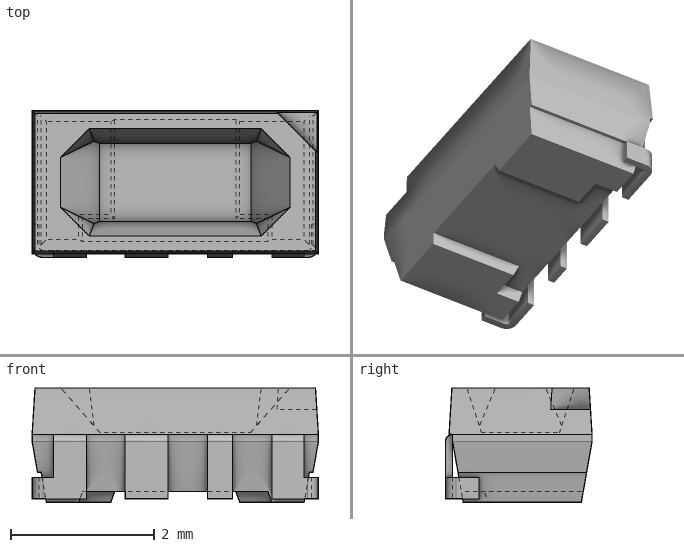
import cadquery as cq
import math

length = 4.0
width = 2.0
height = 1.6
base_height = 0.95
housing_height = height - base_height
housing_inset = 0.04
notch_leg = 0.52
notch_depth = 0.3

cavity_length = 3.2
cavity_width = 1.5
cavity_corner = 0.4
cavity_depth = 0.62
floor_length = 2.11
floor_width = 1.09
corner_facet_inset = 0.2

band_height = 0.1
band_bottom = base_height - band_height
step_height = 0.42
step_inset = 0.05
base_draft = 10.0
base_front = -0.95
base_back = width / 2

recess_height = 0.15
recess_draft = 20.0
channel_length = 1.8
pocket_length = 2.7
pocket_back = -0.45

lead_thickness = 0.1
lead_front = base_front - lead_thickness
lead_bottom = 0.05
lead_bend_radius = lead_thickness
foot_top = 0.35
foot_bend_radius = 0.15
foot_arm_end = -0.58
inner_leads = [(-0.7, -0.1), (0.45, 0.8)]
outer_leads = [(-1, 1.24, 1.7), (1, 1.35, 1.8)]


def block(x_start, x_end, y_start, y_end, z_start, z_end):
    """Box given by its limits along each axis."""
    return cq.Workplane("XY").box(
        x_end - x_start, y_end - y_start, z_end - z_start, centered=False
    ).translate((x_start, y_start, z_start))


def make_cavity():
    """Pocket with four sloped walls, its corners cut by steep diagonal facets."""
    basin = (
        cq.Workplane("XY")
        .workplane(offset=height)
        .rect(cavity_length, cavity_width)
        .workplane(offset=-cavity_depth)
        .rect(floor_length, floor_width)
        .loft(ruled=True)
    )
    diagonal_side = (cavity_length + cavity_width - 2 * cavity_corner) / math.sqrt(2)
    facet_taper = math.degrees(math.atan(corner_facet_inset / cavity_depth))
    corner_facets = (
        cq.Workplane("XY")
        .rect(diagonal_side, diagonal_side)
        .extrude(cavity_depth, taper=facet_taper)
        .rotate((0, 0, 0), (1, 0, 0), 180)
        .rotate((0, 0, 0), (0, 0, 1), 45)
        .translate((0, 0, height))
    )
    return basin.intersect(corner_facets)


def make_notch():
    """Triangular prism that drops the +X +Y corner of the housing top."""
    top_x = length / 2 - housing_inset
    top_y = width / 2 - housing_inset
    reach = 2 * housing_inset
    return (
        cq.Workplane("XY")
        .workplane(offset=height - notch_depth)
        .moveTo(top_x - notch_leg - reach, top_y + reach)
        .lineTo(top_x + reach, top_y + reach)
        .lineTo(top_x + reach, top_y - notch_leg - reach)
        .close()
        .extrude(notch_depth)
    )


def make_housing():
    wall_taper = math.degrees(math.atan(housing_inset / housing_height))
    shell = (
        cq.Workplane("XY")
        .workplane(offset=base_height)
        .rect(length, width)
        .extrude(housing_height, taper=wall_taper)
    )
    return shell.cut(make_notch()).cut(make_cavity())


def make_base():
    base_width = base_back - base_front
    base_center = (base_back + base_front) / 2
    band = block(-length / 2, length / 2, base_front, base_back, band_bottom, base_height)

    def drafted(top_length):
        return (
            cq.Workplane("XY")
            .workplane(offset=band_bottom)
            .center(0, base_center)
            .rect(top_length, base_width)
            .extrude(-band_bottom, taper=base_draft)
        )

    above_step = block(-length, length, -width, width, step_height, height)
    upper = drafted(length).intersect(above_step)
    lower = drafted(length - 2 * step_inset)
    return band.union(upper).union(lower).cut(make_recess())


def make_recess():
    """Drafted channel through the underside, widened by a pocket at the front."""
    def drafted(size_x, y_start, y_end):
        return (
            cq.Workplane("XY")
            .center(0, (y_start + y_end) / 2)
            .rect(size_x, y_end - y_start)
            .extrude(recess_height, taper=recess_draft)
        )

    channel = drafted(channel_length, -width, width)
    pocket = drafted(pocket_length, -width, pocket_back)
    return channel.union(pocket)


def make_leg(x_start, x_end):
    """Upright leg on the front of the base, rounded where it meets the housing."""
    return (
        cq.Workplane("YZ")
        .workplane(offset=x_start)
        .moveTo(lead_front, lead_bottom)
        .lineTo(lead_front, base_height - lead_bend_radius)
        .radiusArc((base_front, base_height), lead_bend_radius)
        .lineTo(base_front, lead_bottom)
        .close()
        .extrude(x_end - x_start)
    )


def make_foot(side, inner_edge):
    """Strip running outward from the leg and bent back along the end of the base."""
    inner_x = side * inner_edge
    end_x = side * length / 2
    arm_inner_x = end_x - side * lead_thickness
    inner_radius = foot_bend_radius - lead_thickness
    return (
        cq.Workplane("XY")
        .workplane(offset=lead_bottom)
        .moveTo(inner_x, lead_front)
        .lineTo(end_x - side * foot_bend_radius, lead_front)
        .radiusArc((end_x, lead_front + foot_bend_radius), -side * foot_bend_radius)
        .lineTo(end_x, foot_arm_end)
        .lineTo(arm_inner_x, foot_arm_end)
        .lineTo(arm_inner_x, base_front + inner_radius)
        .radiusArc((arm_inner_x - side * inner_radius, base_front), side * inner_radius)
        .lineTo(inner_x, base_front)
        .close()
        .extrude(foot_top - lead_bottom)
    )


def make_outer_lead(side, inner_edge, outer_edge):
    x_start, x_end = sorted((side * inner_edge, side * outer_edge))
    return make_leg(x_start, x_end).union(make_foot(side, inner_edge))


housing = make_housing()
base = make_base()
leads = [make_leg(*edges) for edges in inner_leads]
leads += [make_outer_lead(*placement) for placement in outer_leads]

result = cq.Compound.makeCompound([housing.val(), base.val(), *[lead.val() for lead in leads]])